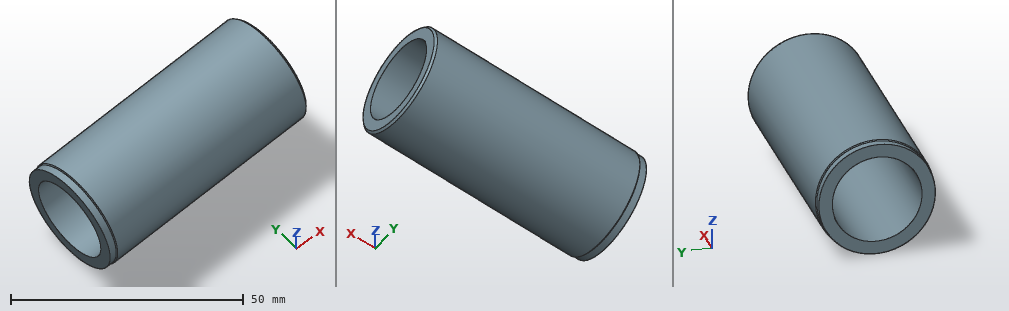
import cadquery as cq

length = 57.0
outer_diameter = 26.45
bore_diameter = 20.0
spigot_diameter = 26.0
spigot_length = 1.75
end_chamfer = 0.5

outer_radius = outer_diameter / 2
bore_radius = bore_diameter / 2
spigot_radius = spigot_diameter / 2

shoulder_end = spigot_length + (outer_radius - spigot_radius)

wall_section = (
    cq.Workplane("XZ")
    .moveTo(0, bore_radius)
    .lineTo(0, spigot_radius)
    .lineTo(spigot_length, spigot_radius)
    .lineTo(shoulder_end, outer_radius)
    .lineTo(length - end_chamfer, outer_radius)
    .lineTo(length, outer_radius - end_chamfer)
    .lineTo(length, bore_radius)
    .close()
)

result = wall_section.revolve(360, (0, 0, 0), (1, 0, 0))